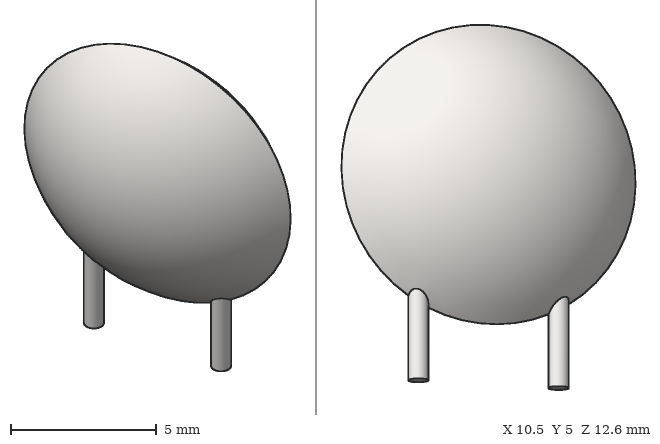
import cadquery as cq

total_height = 12.6
disc_diameter = 10.5
disc_thickness = 5.0
pin_diameter = 0.7
pin_spacing = 5.0

disc_radius = disc_diameter / 2
half_thickness = disc_thickness / 2
pin_bottom = disc_radius - total_height
pin_top = -disc_radius / 2


def lens_body():
    """Two equal spherical caps meeting at a sharp rim, with the axis along Y."""
    sphere_radius = (disc_radius**2 + half_thickness**2) / (2 * half_thickness)
    center_offset = sphere_radius - half_thickness
    back_sphere = cq.Workplane("XY").sphere(sphere_radius).translate((0, center_offset, 0))
    front_sphere = cq.Workplane("XY").sphere(sphere_radius).translate((0, -center_offset, 0))
    return back_sphere.intersect(front_sphere)


def lead_pins():
    """Two straight round pins running down from inside the disc."""
    return (
        cq.Workplane("XY", origin=(0, 0, pin_bottom))
        .pushPoints([(-pin_spacing / 2, 0), (pin_spacing / 2, 0)])
        .circle(pin_diameter / 2)
        .extrude(pin_top - pin_bottom)
    )


result = lens_body().union(lead_pins())